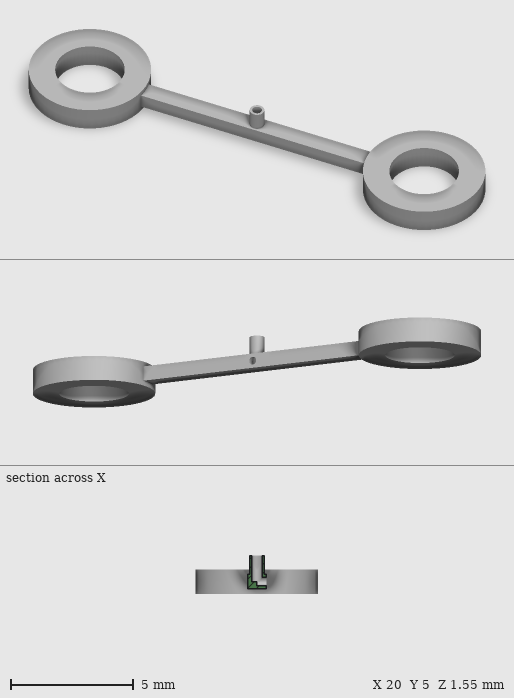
import cadquery as cq

overall_length = 20.0
ring_diameter = 5.0
ring_bore = 2.85
ring_height = 1.0
ring_offset = (overall_length - ring_diameter) / 2

bar_width = 0.75
bar_height = 0.6
bar_bottom = (ring_height - bar_height) / 2
bar_middle = ring_height / 2

overall_height = 1.55
pin_diameter = 0.6
socket_diameter = 0.4
side_bore_diameter = 0.32


def cylinder(diameter, bottom, top, x=0.0):
    """Upright cylinder between two heights."""
    return (
        cq.Workplane("XY", origin=(x, 0, bottom))
        .circle(diameter / 2)
        .extrude(top - bottom)
    )


result = cq.Workplane("XY", origin=(0, 0, bar_bottom)).box(
    2 * ring_offset, bar_width, bar_height, centered=(True, True, False)
)
for x in (-ring_offset, ring_offset):
    result = result.union(cylinder(ring_diameter, 0, ring_height, x))
for x in (-ring_offset, ring_offset):
    result = result.cut(cylinder(ring_bore, 0, ring_height, x))

result = result.union(cylinder(pin_diameter, bar_bottom, overall_height))

result = result.cut(cylinder(socket_diameter, bar_middle, overall_height))

side_bore = (
    cq.Workplane("XZ", origin=(0, 0, bar_middle))
    .circle(side_bore_diameter / 2)
    .extrude(-bar_width / 2)
)
result = result.cut(side_bore)